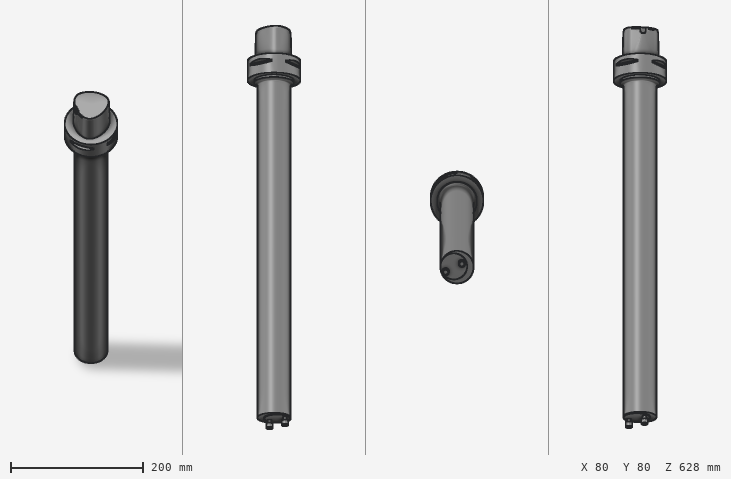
import cadquery as cq
import math

TOTAL_LENGTH = 628.0
SHANK_LENGTH = 48.0
FLANGE_HEIGHT = 31.0
COLLAR_STRAIGHT = 4.0
BAR_BOTTOM = 14.5
DISC_HEIGHT = 1.0

flange_top = TOTAL_LENGTH - SHANK_LENGTH
flange_bottom = flange_top - FLANGE_HEIGHT
collar_bottom = flange_bottom - COLLAR_STRAIGHT

FLANGE_DIAMETER = 80.0
COLLAR_DIAMETER = 60.0
BAR_DIAMETER = 50.0
DISC_DIAMETER = 40.0

SHANK_MEAN_RADIUS = 27.5
LOBE_HEIGHT = 2.0
TAPER_SLOPE = 1 / 40
CHAMFER_WIDTH = 0.95
CHAMFER_LENGTH = 3.0
LOBE_POINTS = 36

NOTCH_WIDTH = 9.0
NOTCH_HEIGHT = 10.0
NOTCH_DEPTH = 4.0

GROOVE_COUNT = 4
GROOVE_DROP = 11.0
GROOVE_DEPTH = 5.0
GROOVE_MOUTH = 8.0
GROOVE_FLOOR = 2.5

STUD_DIAMETER = 6.0
HEAD_DIAMETER = 10.0
HEAD_HEIGHT = 8.0
HEAD_CHAMFER = 1.0
STUD_OFFSET_X = 10.0
STUD_OFFSET_Y = 9.5


def cylinder(diameter, bottom, top, x=0.0, y=0.0):
    """Upright cylinder between two heights."""
    return cq.Workplane("XY", origin=(x, y, bottom)).circle(diameter / 2).extrude(top - bottom)


def lobe_point(angle, mean_radius):
    """Point where the outward normal has the given angle; one lobe points to +Y."""
    phase = 3 * (angle - math.pi / 2)
    support = mean_radius + LOBE_HEIGHT * math.cos(phase)
    slope = -3 * LOBE_HEIGHT * math.sin(phase)
    x = support * math.cos(angle) - slope * math.sin(angle)
    y = support * math.sin(angle) + slope * math.cos(angle)
    return x, y


def shank_section(bottom, bottom_radius, height, top_radius):
    """Loft between two three-lobed outlines."""
    angles = [2 * math.pi * i / LOBE_POINTS for i in range(LOBE_POINTS)]
    lower = [lobe_point(angle, bottom_radius) for angle in angles]
    upper = [lobe_point(angle, top_radius) for angle in angles]
    section = cq.Workplane("XY", origin=(0, 0, bottom)).spline(lower, periodic=True).close()
    return section.workplane(offset=height).spline(upper, periodic=True).close().loft(ruled=True)


def make_shank():
    taper_length = SHANK_LENGTH - CHAMFER_LENGTH
    taper_radius = SHANK_MEAN_RADIUS - TAPER_SLOPE * taper_length
    body = shank_section(flange_top, SHANK_MEAN_RADIUS, taper_length, taper_radius)
    tip = shank_section(
        flange_top + taper_length, taper_radius, CHAMFER_LENGTH, taper_radius - CHAMFER_WIDTH
    )
    return body.union(tip).cut(make_notch())


def make_notch():
    """Round-bottomed slot open at the top and at the -Y face."""
    face_y = LOBE_HEIGHT - SHANK_MEAN_RADIUS
    half_width = NOTCH_WIDTH / 2
    arc_center_z = TOTAL_LENGTH - NOTCH_HEIGHT + half_width
    return (
        cq.Workplane("XZ", origin=(0, face_y + NOTCH_DEPTH, 0))
        .moveTo(-half_width, TOTAL_LENGTH)
        .lineTo(-half_width, arc_center_z)
        .threePointArc((0, TOTAL_LENGTH - NOTCH_HEIGHT), (half_width, arc_center_z))
        .lineTo(half_width, TOTAL_LENGTH)
        .close()
        .extrude(2 * NOTCH_DEPTH)
    )


def make_flange():
    flange = cylinder(FLANGE_DIAMETER, flange_bottom, flange_top)
    rim = FLANGE_DIAMETER / 2
    groove_z = flange_top - GROOVE_DROP
    groove = (
        cq.Workplane("XZ")
        .polyline([
            (rim - GROOVE_DEPTH, groove_z - GROOVE_FLOOR / 2),
            (rim, groove_z - GROOVE_MOUTH / 2),
            (rim, groove_z + GROOVE_MOUTH / 2),
            (rim - GROOVE_DEPTH, groove_z + GROOVE_FLOOR / 2),
        ])
        .close()
        .extrude(rim, both=True)
    )
    spacing = 360 / GROOVE_COUNT
    for i in range(GROOVE_COUNT):
        flange = flange.cut(groove.rotate((0, 0, 0), (0, 0, 1), (i + 0.5) * spacing))
    return flange


def make_bar():
    """Long bar that flares through a concave fillet into a collar below the flange."""
    bar_radius = BAR_DIAMETER / 2
    collar_radius = COLLAR_DIAMETER / 2
    fillet = collar_radius - bar_radius
    arc_middle = fillet * (1 - math.sqrt(0.5))
    return (
        cq.Workplane("XZ")
        .moveTo(0, BAR_BOTTOM)
        .lineTo(bar_radius, BAR_BOTTOM)
        .lineTo(bar_radius, collar_bottom - fillet)
        .threePointArc(
            (bar_radius + arc_middle, collar_bottom - arc_middle),
            (collar_radius, collar_bottom),
        )
        .lineTo(collar_radius, flange_bottom)
        .lineTo(0, flange_bottom)
        .close()
        .revolve(360, (0, 0, 0), (0, 1, 0))
    )


def make_stud(x, y):
    """Neck with a wider head, chamfered at its lower end."""
    neck = cylinder(STUD_DIAMETER, 0, BAR_BOTTOM, x, y)
    head = cylinder(HEAD_DIAMETER, 0, HEAD_HEIGHT, x, y).faces("<Z").chamfer(HEAD_CHAMFER)
    return head.union(neck)


def make_bottom_end():
    """Thin disc touching the bar's -X side, with two studs opposite each other."""
    disc_x = (DISC_DIAMETER - BAR_DIAMETER) / 2
    end = cylinder(DISC_DIAMETER, BAR_BOTTOM - DISC_HEIGHT, BAR_BOTTOM, disc_x)
    for side in (-1, 1):
        end = end.union(make_stud(disc_x + side * STUD_OFFSET_X, -side * STUD_OFFSET_Y))
    return end


result = make_bar().union(make_flange()).union(make_shank()).union(make_bottom_end())